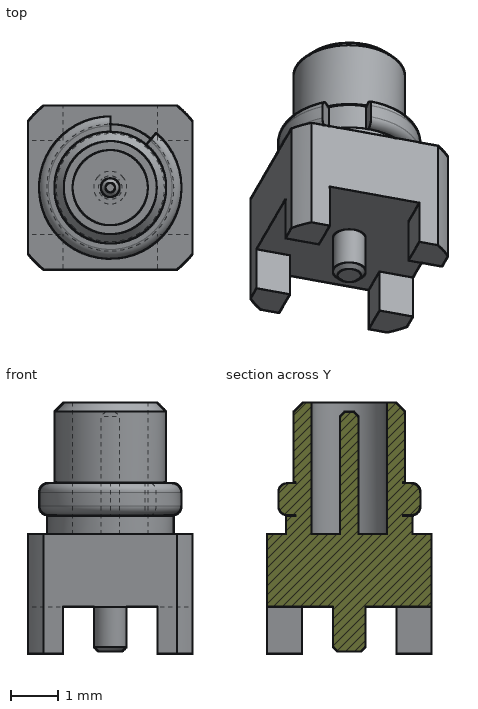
import cadquery as cq
import math

base_width = 3.5
base_top = 2.55
corner_radius = 2.25
leg_height = 1.0
leg_gap = 2.0

solder_pin_diameter = 0.7
solder_pin_bottom = 0.05
solder_pin_chamfer = 0.1

overall_height = 5.35
neck_diameter = 2.7
neck_top = 2.935
groove_top = 3.645
groove_diameter = 2.3
barrel_diameter = 2.38
barrel_chamfer = 0.2
bore_diameter = 1.6

ring_outer_diameter = 3.03
ring_side_clearance = 0.01
ring_bottom = neck_top + ring_side_clearance
ring_top = groove_top - ring_side_clearance
ring_fillet = 0.2
ring_gap_start = 50
ring_gap_end = 90

contact_diameter = 0.4
contact_top = 5.15
contact_chamfer = 0.1


def cylinder(diameter, bottom, top):
    return cq.Workplane("XY").workplane(offset=bottom).circle(diameter / 2).extrude(top - bottom)


def make_base():
    block = cq.Workplane("XY").box(base_width, base_width, base_top, centered=(True, True, False))
    block = block.intersect(cylinder(2 * corner_radius, 0, base_top))
    slot_x = cq.Workplane("XY").box(base_width, leg_gap, leg_height, centered=(True, True, False))
    slot_y = cq.Workplane("XY").box(leg_gap, base_width, leg_height, centered=(True, True, False))
    return block.cut(slot_x).cut(slot_y)


def make_solder_pin():
    pin = cylinder(solder_pin_diameter, solder_pin_bottom, leg_height)
    return pin.faces("<Z").chamfer(solder_pin_chamfer)


def make_barrel():
    neck = cylinder(neck_diameter, base_top, neck_top)
    groove = cylinder(groove_diameter, neck_top, groove_top)
    barrel = cylinder(barrel_diameter, groove_top, overall_height)
    barrel = barrel.faces(">Z").chamfer(barrel_chamfer)
    bore = cylinder(bore_diameter, base_top, overall_height)
    return neck.union(groove).union(barrel).cut(bore)


def make_snap_ring():
    ring = cylinder(ring_outer_diameter, ring_bottom, ring_top)
    ring = ring.edges().fillet(ring_fillet)
    ring = ring.cut(cylinder(groove_diameter, ring_bottom, ring_top))
    wedge_reach = ring_outer_diameter
    wedge_corners = [(0, 0)]
    for angle in (ring_gap_start, ring_gap_end):
        direction = math.radians(angle)
        wedge_corners.append((wedge_reach * math.cos(direction), wedge_reach * math.sin(direction)))
    wedge = cq.Workplane("XY").workplane(offset=ring_bottom).polyline(wedge_corners).close()
    return ring.cut(wedge.extrude(ring_top - ring_bottom))


def make_contact():
    contact = cylinder(contact_diameter, base_top, contact_top)
    return contact.faces(">Z").chamfer(contact_chamfer)


result = (
    make_base()
    .union(make_solder_pin())
    .union(make_barrel())
    .union(make_snap_ring())
    .union(make_contact())
)